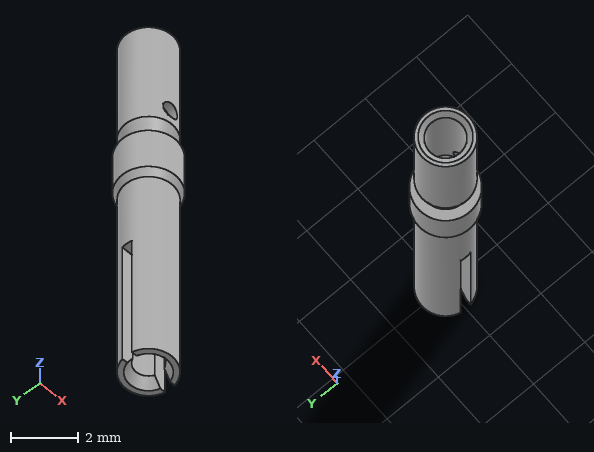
import cadquery as cq
import math

total_length = 14.4
crimp_bottom = 10.4
neck_top = 9.76
collar_top = 9.62
collar_bevel_top = 8.0
collar_bottom = 7.7

body_diameter = 1.87
neck_diameter = 1.44
collar_diameter = 2.15

wire_bore_diameter = 1.27
lead_in_diameter = 1.63
lead_in_depth = 0.13
wire_bore_bottom = 10.65
drill_point_angle = 118.0

inspection_diameter = 0.6
inspection_height = 11.0

socket_bore_diameter = 1.01
socket_mouth_diameter = 1.47
socket_mouth_depth = 0.4
slot_width = 0.39
slot_length = 5.0


def revolve_profile(points):
    """Revolve (radius, height) points around the part axis."""
    return cq.Workplane("XZ").polyline(points).close().revolve(360, (0, 0), (0, 1))


def turned_body():
    body_radius = body_diameter / 2
    neck_radius = neck_diameter / 2
    collar_radius = collar_diameter / 2
    return revolve_profile([
        (0, 0),
        (body_radius, 0),
        (body_radius, collar_bottom),
        (collar_radius, collar_bevel_top),
        (collar_radius, collar_top),
        (neck_radius, collar_top),
        (neck_radius, neck_top),
        (body_radius, crimp_bottom),
        (body_radius, total_length),
        (0, total_length),
    ])


def wire_bore():
    bore_radius = wire_bore_diameter / 2
    point_depth = bore_radius / math.tan(math.radians(drill_point_angle / 2))
    return revolve_profile([
        (0, wire_bore_bottom - point_depth),
        (bore_radius, wire_bore_bottom),
        (bore_radius, total_length - lead_in_depth),
        (lead_in_diameter / 2, total_length),
        (0, total_length),
    ])


def inspection_hole():
    return (
        cq.Workplane("XZ")
        .center(0, inspection_height)
        .circle(inspection_diameter / 2)
        .extrude(body_diameter)
    )


def socket_bore():
    bore_radius = socket_bore_diameter / 2
    return revolve_profile([
        (0, 0),
        (socket_mouth_diameter / 2, 0),
        (bore_radius, socket_mouth_depth),
        (bore_radius, slot_length),
        (0, slot_length),
    ])


def socket_slot():
    return cq.Workplane("XY").box(
        collar_diameter, slot_width, slot_length, centered=(True, True, False)
    )


result = (
    turned_body()
    .cut(wire_bore())
    .cut(inspection_hole())
    .cut(socket_bore())
    .cut(socket_slot())
)